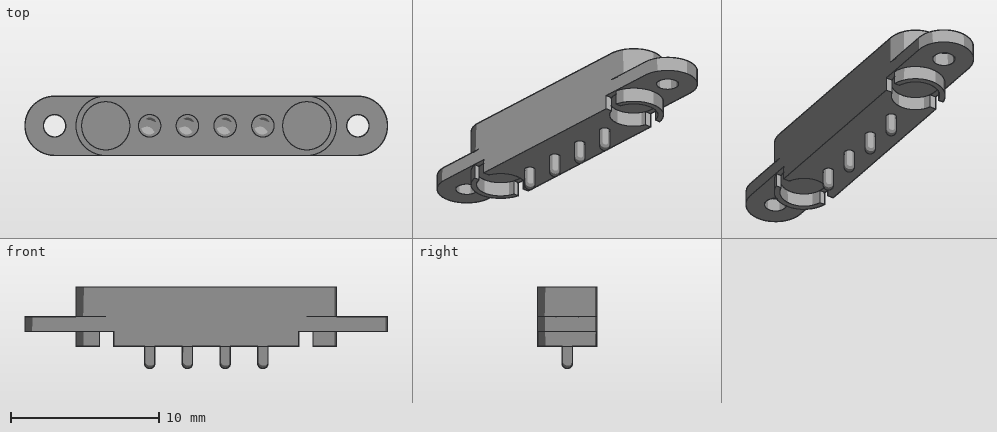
import cadquery as cq
import math

length = 24.45
width = 4.0
end_radius = width / 2
body_length = 17.55

foot_height = 1.0
flange_thickness = 1.0
body_height = 4.0
flange_top = foot_height + flange_thickness

slot_inner_x = 6.23
slot_outer_x = 7.19

mounting_hole_diameter = 1.5
mounting_hole_x = length / 2 - end_radius

magnet_diameter = 3.25
magnet_x = body_length / 2 - end_radius
magnet_height = body_height - foot_height

contact_count = 4
contact_pitch = 2.55
head_diameter = 1.52
head_height = 1.0
rim_radius = 0.6
lip_radius = 0.15
dish_depth = 0.22
tail_diameter = 0.7
tail_radius = tail_diameter / 2
tail_projection = 1.5
head_bottom = body_height - head_height


def mirrored_points(x):
    """Two points on the long axis, one towards each end."""
    return [(-x, 0), (x, 0)]


first_contact_x = -(contact_count - 1) / 2 * contact_pitch
contact_points = [(first_contact_x + i * contact_pitch, 0) for i in range(contact_count)]
magnet_points = mirrored_points(magnet_x)
mounting_points = mirrored_points(mounting_hole_x)


def stadium(total_length, bottom, top):
    """Upright block with fully rounded ends."""
    return (
        cq.Workplane("XY")
        .workplane(offset=bottom)
        .slot2D(total_length, width)
        .extrude(top - bottom)
    )


def cylinders(points, diameter, bottom, top):
    """Upright cylinders centred on the given points."""
    return (
        cq.Workplane("XY")
        .workplane(offset=bottom)
        .pushPoints(points)
        .circle(diameter / 2)
        .extrude(top - bottom)
    )


def make_housing():
    """Raised body on a flange, slotted underneath and bored for magnets, contacts and screws."""
    body = stadium(body_length, 0, body_height)
    flange = stadium(length, foot_height, flange_top)
    housing = body.union(flange)

    slot_width = slot_outer_x - slot_inner_x
    slot_x = (slot_outer_x + slot_inner_x) / 2
    slots = (
        cq.Workplane("XY")
        .pushPoints(mirrored_points(slot_x))
        .rect(slot_width, width)
        .extrude(foot_height)
    )
    housing = housing.cut(slots)

    housing = housing.cut(cylinders(mounting_points, mounting_hole_diameter, 0, body_height))

    housing = housing.cut(cylinders(magnet_points, magnet_diameter, 0, body_height))

    housing = housing.cut(cylinders(contact_points, tail_diameter, 0, body_height))
    return housing.cut(cylinders(contact_points, head_diameter, head_bottom, body_height))


def make_magnet(point):
    """Disc filling its bore from the body top down to the underside of the flange."""
    return cylinders([point], magnet_diameter, body_height - magnet_height, body_height)


def make_contact(point):
    """Turned contact, a half section revolved about its own axis."""
    tip = -tail_projection
    arc_offset = tail_radius * math.sqrt(0.5)

    radius_sum = (rim_radius**2 + dish_depth**2) / (2 * dish_depth)
    dish_radius = radius_sum - lip_radius
    lip_angle = math.asin(rim_radius / radius_sum)
    dish_centre_z = body_height - dish_depth + dish_radius
    lip_centre_z = body_height - lip_radius

    def dish_point(angle):
        return (dish_radius * math.sin(angle), dish_centre_z - dish_radius * math.cos(angle))

    lip_middle = (
        rim_radius - lip_radius * math.sin(lip_angle / 2),
        lip_centre_z + lip_radius * math.cos(lip_angle / 2),
    )

    section = (
        cq.Workplane("XZ")
        .moveTo(0, tip)
        .threePointArc(
            (arc_offset, tip + tail_radius - arc_offset),
            (tail_radius, tip + tail_radius),
        )
        .lineTo(tail_radius, head_bottom)
        .lineTo(head_diameter / 2, head_bottom)
        .lineTo(head_diameter / 2, body_height)
        .lineTo(rim_radius, body_height)
        .threePointArc(lip_middle, dish_point(lip_angle))
        .threePointArc(dish_point(lip_angle / 2), dish_point(0))
        .close()
    )
    return section.revolve(360, (0, 0, 0), (0, 1, 0)).translate((*point, 0))


housing = make_housing()
magnets = [make_magnet(point) for point in magnet_points]
contacts = [make_contact(point) for point in contact_points]

bodies = [housing, *magnets, *contacts]
result = cq.Compound.makeCompound([body.val() for body in bodies])